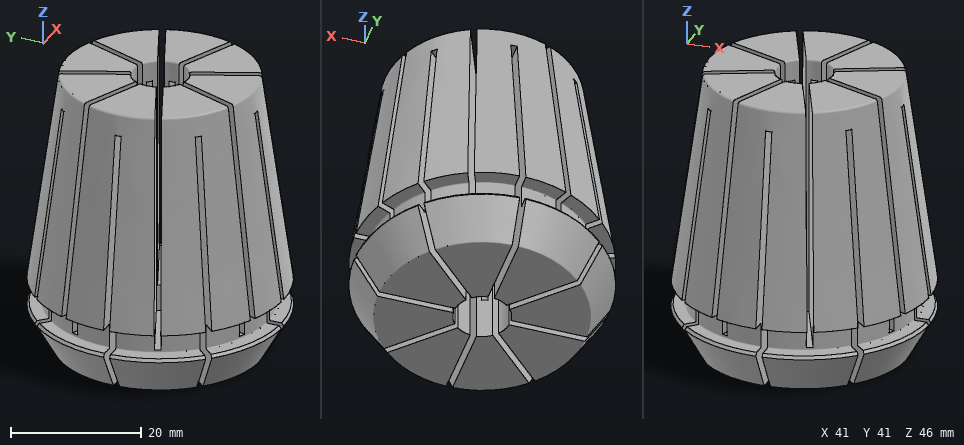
import cadquery as cq
import math

total_height = 46.0
flange_edge_height = 6.6
flange_top_height = 7.1
cone_base_height = 11.2
lower_slit_top = 42.5
upper_slit_floor = 7.65

max_diameter = 41.0
groove_diameter = 36.25
nose_diameter = 33.4
bore_diameter = 9.0

cone_half_angle = 8.0
flange_chamfer_width = 0.35
groove_round = 0.2
nose_round = 0.2
top_round = 0.5
bore_round = 0.4

slit_width = 1.0
slit_count = 8
slit_pitch = 360.0 / slit_count

max_radius = max_diameter / 2
cone_taper = math.tan(math.radians(cone_half_angle))


def cone_radius(height):
    """Radius of the long taper at a given height."""
    return max_radius - (height - cone_base_height) * cone_taper


def turned_body():
    """Revolve the collet profile: nose cone, groove, long taper and straight bore."""
    bore_radius = bore_diameter / 2
    groove_radius = groove_diameter / 2
    profile = [
        (bore_radius, 0),
        (nose_diameter / 2, 0),
        (max_radius, flange_edge_height),
        (max_radius - flange_chamfer_width, flange_top_height),
        (groove_radius, flange_top_height),
        (groove_radius, cone_base_height),
        (max_radius, cone_base_height),
        (cone_radius(total_height), total_height),
        (bore_radius, total_height),
    ]
    return cq.Workplane("XZ").polyline(profile).close().revolve(360, (0, 0, 0), (0, 1, 0))


def round_edges(body):
    """Round both groove corners, the nose edge, the top rim and the bore mouth."""
    smallest_circle = cq.selectors.RadiusNthSelector(0)
    largest_circle = cq.selectors.RadiusNthSelector(-1)
    groove_corners = cq.selectors.BoxSelector(
        (-max_radius, -max_radius, flange_top_height - groove_round),
        (max_radius, max_radius, cone_base_height + groove_round),
    )
    body = body.edges("%CIRCLE").edges(groove_corners).edges(smallest_circle).fillet(groove_round)
    body = body.faces("<Z").edges(largest_circle).fillet(nose_round)
    body = body.faces(">Z").edges(largest_circle).fillet(top_round)
    return body.faces(">Z").edges(smallest_circle).fillet(bore_round)


def radial_slits(bottom, top, first_angle):
    """Equally spaced radial cutters from the axis outwards, between two heights."""
    cutters = cq.Workplane("XY")
    for index in range(slit_count):
        cutter = (
            cq.Workplane("XY", origin=(0, 0, bottom))
            .box(max_diameter, slit_width, top - bottom, centered=(False, True, False))
            .rotate((0, 0, 0), (0, 0, 1), first_angle + index * slit_pitch)
        )
        cutters = cutters.add(cutter)
    return cutters.combine()


bottom_slits = radial_slits(0, lower_slit_top, 0)
top_slits = radial_slits(upper_slit_floor, total_height, slit_pitch / 2)

result = round_edges(turned_body()).cut(bottom_slits).cut(top_slits)